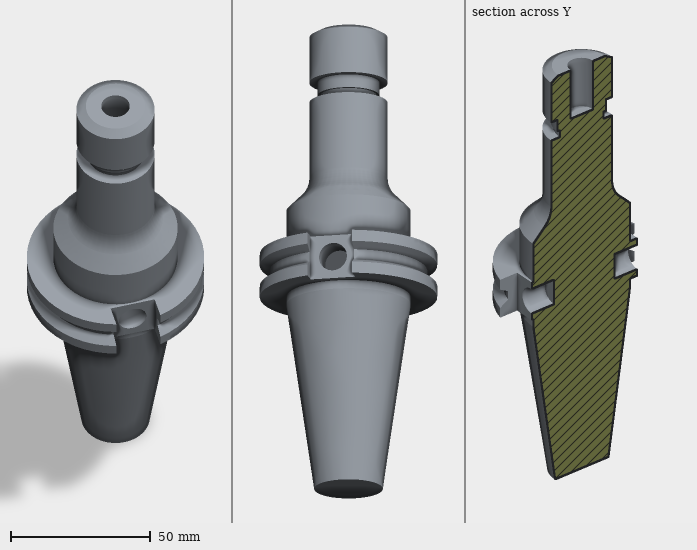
import cadquery as cq
import math

total_height = 169.8
taper_top = 68.3
flange_bottom = 71.3
flange_top = 87.3
body_top = 103.3
shank_top = 143.7
collar_bottom = 146.4
nut_bottom = 151.2

flange_diameter = 63.5
groove_diameter = 56.4
body_diameter = 44.5
shank_diameter = 28.0
collar_diameter = 22.3
neck_diameter = 20.2

taper_rate = 7 / 24

groove_mid_height = 79.3
groove_floor_width = 3.5
groove_flank_angle = 30.0

shoulder_angle = 45.0
shoulder_blend_radius = 10.0

nut_chamfer_height = 1.9
nut_chamfer_width = 3.4

slot_width = 16.3
slot_floor_left = -25.3
slot_floor_right = 23.0

hole_diameter = 10.2
nut_bore_depth = 20.4
slot_hole_depth = 10.2


def make_turned_body():
    """Revolve the half section, drawn as (radius, height), about Z."""
    flange_r = flange_diameter / 2
    groove_r = groove_diameter / 2
    body_r = body_diameter / 2
    shank_r = shank_diameter / 2
    collar_r = collar_diameter / 2
    neck_r = neck_diameter / 2

    tip_r = body_r - taper_top * taper_rate / 2
    flank_rise = (flange_r - groove_r) * math.tan(math.radians(groove_flank_angle))
    floor_low = groove_mid_height - groove_floor_width / 2
    floor_high = groove_mid_height + groove_floor_width / 2

    angle = math.radians(shoulder_angle)
    blend_center_r = shank_r + shoulder_blend_radius
    cone_end_r = blend_center_r - shoulder_blend_radius * math.cos(angle)
    cone_end_z = body_top + (body_r - cone_end_r) * math.tan(angle)
    blend_center_z = cone_end_z + shoulder_blend_radius * math.sin(angle)
    blend_mid = (
        blend_center_r - shoulder_blend_radius * math.cos(angle / 2),
        blend_center_z - shoulder_blend_radius * math.sin(angle / 2),
    )

    section = (
        cq.Workplane("XZ")
        .moveTo(0, 0)
        .lineTo(tip_r, 0)
        .lineTo(body_r, taper_top)
        .lineTo(body_r, flange_bottom)
        .lineTo(flange_r, flange_bottom)
        .lineTo(flange_r, floor_low - flank_rise)
        .lineTo(groove_r, floor_low)
        .lineTo(groove_r, floor_high)
        .lineTo(flange_r, floor_high + flank_rise)
        .lineTo(flange_r, flange_top)
        .lineTo(body_r, flange_top)
        .lineTo(body_r, body_top)
        .lineTo(cone_end_r, cone_end_z)
        .threePointArc(blend_mid, (shank_r, blend_center_z))
        .lineTo(shank_r, shank_top)
        .lineTo(neck_r, shank_top)
        .lineTo(neck_r, collar_bottom)
        .lineTo(collar_r, collar_bottom)
        .lineTo(collar_r, nut_bottom)
        .lineTo(shank_r, nut_bottom)
        .lineTo(shank_r, total_height - nut_chamfer_height)
        .lineTo(shank_r - nut_chamfer_width, total_height)
        .lineTo(0, total_height)
        .close()
    )
    return section.revolve(360, (0, 0, 0), (0, 1, 0))


def make_drive_slot(floor_x):
    """Slot cutter through the flange height, running outward from floor_x, plus its blind hole."""
    outward = math.copysign(1, floor_x)
    flange_mid = (flange_bottom + flange_top) / 2
    floor_plane = cq.Workplane(
        cq.Plane(origin=(floor_x, 0, flange_mid), xDir=(0, 1, 0), normal=(outward, 0, 0))
    )
    slot = floor_plane.rect(slot_width, flange_top - flange_bottom).extrude(flange_diameter / 2)
    hole = floor_plane.circle(hole_diameter / 2).extrude(-slot_hole_depth)
    return slot.union(hole)


def make_nut_bore():
    """Blind bore down from the top face."""
    return (
        cq.Workplane("XY")
        .workplane(offset=total_height - nut_bore_depth)
        .circle(hole_diameter / 2)
        .extrude(nut_bore_depth)
    )


result = make_turned_body().cut(make_nut_bore())
for slot_floor in (slot_floor_left, slot_floor_right):
    result = result.cut(make_drive_slot(slot_floor))